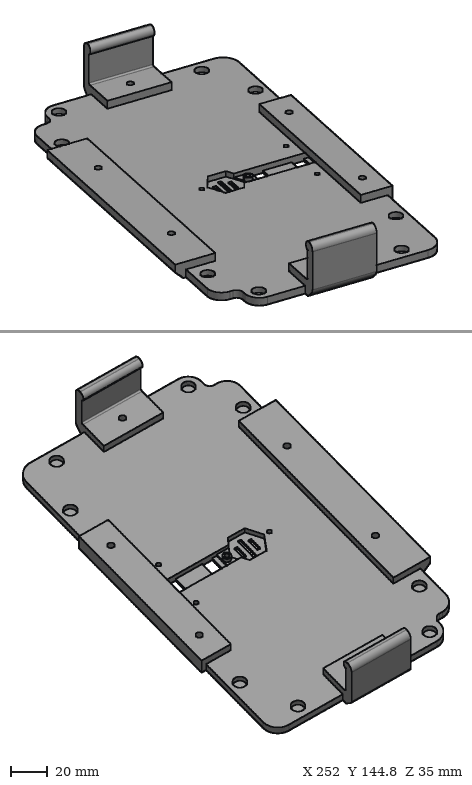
import cadquery as cq
import math

overall_length = 252.0
overall_height = 35.0
half_length = overall_length / 2
pad_top = 10.0

plate_length = 235.9
plate_back = 67.0
plate_front = -68.0
plate_thickness = 5.0
back_corner_radius = 10.0
front_corner_radius = 9.0
notch_size = 15.0
notch_radius = 4.0

back_bar_length = 112.0
back_bar_width = 20.0
back_overhang = 3.0
front_bar_length = 141.0
front_bar_width = 25.2
front_overhang = 6.8
edge_chamfer = 5.0

clip_width = 40.3
clip_foot = 26.0
clip_wall = 5.5
clip_outer_radius = 4.0
clip_bead_radius = 3.3
clip_chamfer_blend = 4.0
clip_inner_fillet = 1.0

mount_hole_diameter = 4.0
end_hole_x = 110.0
bar_hole_x = 40.3
outer_row_y = 60.0
inner_row_y = 44.9
recess_diameter = 8.0
recess_depth = 3.5
back_recess_x = 77.4
front_recess_x = 80.5
small_hole_diameter = 2.8
small_hole_x = 17.1
front_small_hole_y = -18.0

channel_depth = 3.5
pocket_depth = 3.5
channel_width = 11.3
channel_back = 52.5
back_window_back = 49.5
back_window_front = 41.8
front_window_back = 23.7
front_window_front = 17.0
step_y = 13.9
post_bay_depth = 2.5
post_y = 11.0
post_diameter = 5.0
hexagon_radius = 11.5
hexagon_y = -2.8
vent_height = 2.0
vent_pitch = 4.8
middle_vent_length = 14.4
outer_vent_length = 8.3


def block(length, y_front, y_back, z_bottom, z_top):
    """Box centred on X between the given Y and Z limits."""
    return (
        cq.Workplane("XY")
        .box(length, y_back - y_front, z_top - z_bottom, centered=(True, False, False))
        .translate((0, y_front, z_bottom))
    )


def cylinders(points, diameter, z_bottom, z_top):
    """Vertical cylinders at the given points."""
    return (
        cq.Workplane("XY", origin=(0, 0, z_bottom))
        .pushPoints(points)
        .circle(diameter / 2)
        .extrude(z_top - z_bottom)
    )


def base_plate():
    """Flat plate with rounded corners and a notch in each front corner."""
    plate = block(plate_length, plate_front, plate_back, 0, plate_thickness)
    plate = plate.edges("|Z and >Y").fillet(back_corner_radius)
    side_x = plate_length / 2
    notch_x = side_x - notch_size
    notch_y = plate_front + notch_size
    for side in (-1, 1):
        notch = block(2 * notch_size, plate_front - notch_size, notch_y, 0, plate_thickness)
        plate = plate.cut(notch.translate((side * side_x, 0, 0)))
    for corner_x, corner_y, radius in (
        (notch_x, notch_y, notch_radius),
        (side_x, notch_y, front_corner_radius),
        (notch_x, plate_front, front_corner_radius),
    ):
        for side in (-1, 1):
            middle = (side * corner_x, corner_y, plate_thickness / 2)
            plate = plate.edges(cq.selectors.NearestToPointSelector(middle)).fillet(radius)
    return plate


def back_bar():
    outer_y = plate_back + back_overhang
    return block(back_bar_length, outer_y - back_bar_width, outer_y, 0, pad_top)


def front_bar():
    outer_y = plate_front - front_overhang
    bar = block(front_bar_length, outer_y, outer_y + front_bar_width, 0, pad_top)
    return bar.edges("<Y and <Z").chamfer(edge_chamfer)


def left_clip():
    """L-shaped clip whose rounded top edge bulges inwards as a bead."""
    outer_x = -half_length
    wall_x = outer_x + clip_wall
    foot_x = outer_x + clip_foot
    bead_x = outer_x + clip_outer_radius
    bead_z = overall_height - clip_bead_radius
    round_z = overall_height - clip_outer_radius
    bead_end_z = bead_z - math.sqrt(clip_bead_radius**2 - (wall_x - bead_x) ** 2)
    diagonal = math.sqrt(0.5)
    clip = (
        cq.Workplane("XZ", origin=(0, clip_width / 2, 0))
        .moveTo(outer_x + edge_chamfer, 0)
        .lineTo(foot_x, 0)
        .lineTo(foot_x, pad_top)
        .lineTo(wall_x, pad_top)
        .lineTo(wall_x, bead_end_z)
        .threePointArc((bead_x + clip_bead_radius, bead_z), (bead_x, overall_height))
        .threePointArc(
            (bead_x - clip_outer_radius * diagonal, round_z + clip_outer_radius * diagonal),
            (outer_x, round_z),
        )
        .lineTo(outer_x, edge_chamfer)
        .close()
        .extrude(clip_width)
    )
    blend_edge = cq.selectors.NearestToPointSelector((outer_x, 0, edge_chamfer))
    inner_edge = cq.selectors.NearestToPointSelector((wall_x, 0, pad_top))
    clip = clip.edges(blend_edge).fillet(clip_chamfer_blend)
    return clip.edges(inner_edge).fillet(clip_inner_fillet)


def mounting_holes():
    """Through holes in the bars and clips, and smaller ones in the plate."""
    end_points = [(side * end_hole_x, 0) for side in (-1, 1)]
    bar_points = [(side * bar_hole_x, row * outer_row_y) for side in (-1, 1) for row in (-1, 1)]
    small_points = [(side * small_hole_x, inner_row_y) for side in (-1, 1)]
    small_points += [(0, front_small_hole_y), (0, post_y)]
    large = cylinders(end_points + bar_points, mount_hole_diameter, 0, pad_top)
    return large.union(cylinders(small_points, small_hole_diameter, 0, plate_thickness))


def recesses():
    """Blind round recesses in the plate's top face."""
    points = []
    for side in (-1, 1):
        points += [
            (side * end_hole_x, inner_row_y),
            (side * end_hole_x, -inner_row_y),
            (side * back_recess_x, outer_row_y),
            (side * front_recess_x, -outer_row_y),
        ]
    return cylinders(points, recess_diameter, plate_thickness - recess_depth, plate_thickness)


def cable_channel():
    """Channel with two windows, leading to a bay around a hollow screw post."""
    floor_z = plate_thickness - channel_depth
    channel = block(channel_width, step_y, channel_back, floor_z, plate_thickness)
    back_window = block(channel_width, back_window_front, back_window_back, 0, plate_thickness)
    front_window = block(channel_width, front_window_front, front_window_back, 0, plate_thickness)
    bay = block(channel_width, hexagon_y, step_y, plate_thickness - post_bay_depth, plate_thickness)
    post = cylinders([(0, post_y)], post_diameter, 0, plate_thickness)
    return channel.union(back_window).union(front_window).union(bay.cut(post))


def sensor_pocket():
    """Hexagonal pocket, points facing front and back, with three vent slots."""
    corners = []
    for index in range(6):
        angle = math.pi * (2 * index + 1) / 6
        corners.append((hexagon_radius * math.cos(angle), hexagon_y + hexagon_radius * math.sin(angle)))
    floor_z = plate_thickness - pocket_depth
    pocket = cq.Workplane("XY", origin=(0, 0, floor_z)).polyline(corners).close().extrude(pocket_depth)
    for row, length in ((-1, outer_vent_length), (0, middle_vent_length), (1, outer_vent_length)):
        vent_y = hexagon_y + row * vent_pitch
        pocket = pocket.union(
            block(length, vent_y - vent_height / 2, vent_y + vent_height / 2, 0, plate_thickness)
        )
    return pocket


clip = left_clip()
body = base_plate().cut(recesses())
body = body.union(back_bar()).union(front_bar()).union(clip).union(clip.mirror("YZ"))
result = body.cut(cable_channel()).cut(sensor_pocket()).cut(mounting_holes())